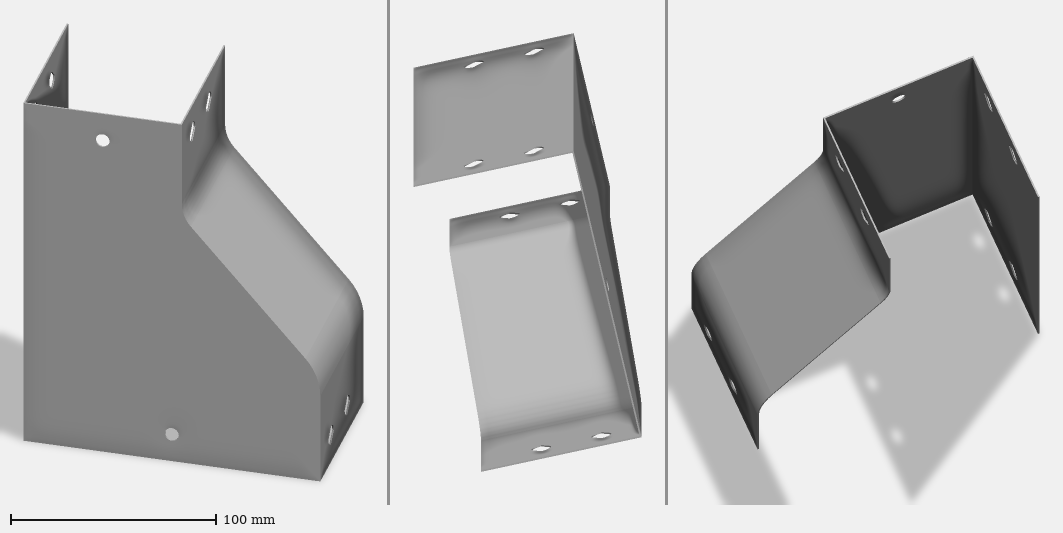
import cadquery as cq
import math

height = 190.0
base_width = 150.0
neck_width = 80.0
depth = 80.0
thickness = 0.8

slope_bottom = 59.5
slope_top = 138.5
shoulder_radius = 30.0
neck_radius = 18.0

hole_diameter = 7.0
slot_width = hole_diameter
slot_length = 10.0
slot_angle = 45
end_offset = 15.0
slot_depths = (20.0, 50.0)
row_heights = (end_offset, height - end_offset)


def make_body():
    """Solid block with the stepped side outline and rounded bends."""
    outline = [
        (0, 0),
        (base_width, 0),
        (base_width, slope_bottom),
        (neck_width, slope_top),
        (neck_width, height),
        (0, height),
    ]
    block = cq.Workplane("XZ").polyline(outline).close().extrude(-depth)
    shoulder = cq.selectors.NearestToPointSelector((base_width, depth / 2, slope_bottom))
    block = block.edges(shoulder).fillet(shoulder_radius)
    neck = cq.selectors.NearestToPointSelector((neck_width, depth / 2, slope_top))
    return block.edges(neck).fillet(neck_radius)


def make_channel():
    """Back plate and two side walls, open at the top, bottom and +Y side."""
    return make_body().faces(">Y or >Z or <Z").shell(-thickness)


def plate_holes():
    """Round holes through the plate, centred on the local channel width."""
    centers = [
        (base_width / 2, row_heights[0]),
        (neck_width / 2, row_heights[1]),
    ]
    return cq.Workplane("XZ").pushPoints(centers).circle(hole_diameter / 2).extrude(-2 * thickness)


def wall_slots(wall_x, angle):
    """Slanted slots with two flats and shallow arc ends, through the wall at wall_x."""
    half_width = slot_width / 2
    half_length = slot_length / 2
    half_flat = math.sqrt(half_length**2 - half_width**2)
    tool = (
        cq.Workplane("YZ")
        .moveTo(-half_flat, -half_width)
        .lineTo(half_flat, -half_width)
        .threePointArc((half_length, 0), (half_flat, half_width))
        .lineTo(-half_flat, half_width)
        .threePointArc((-half_length, 0), (-half_flat, -half_width))
        .close()
        .extrude(2 * thickness, both=True)
        .rotate((0, 0, 0), (1, 0, 0), angle)
    )
    slots = cq.Workplane()
    for y in slot_depths:
        for z in row_heights:
            slots = slots.add(tool.translate((wall_x, y, z)))
    return slots.combine()


def stepped_wall_slots():
    """Slots in the stepped wall, slanted opposite to those in the straight wall."""
    lower = wall_slots(base_width, slot_angle)
    upper = wall_slots(neck_width, slot_angle)
    return lower.union(upper)


result = make_channel()
result = result.cut(plate_holes())
result = result.cut(wall_slots(0, -slot_angle))
result = result.cut(stepped_wall_slots())